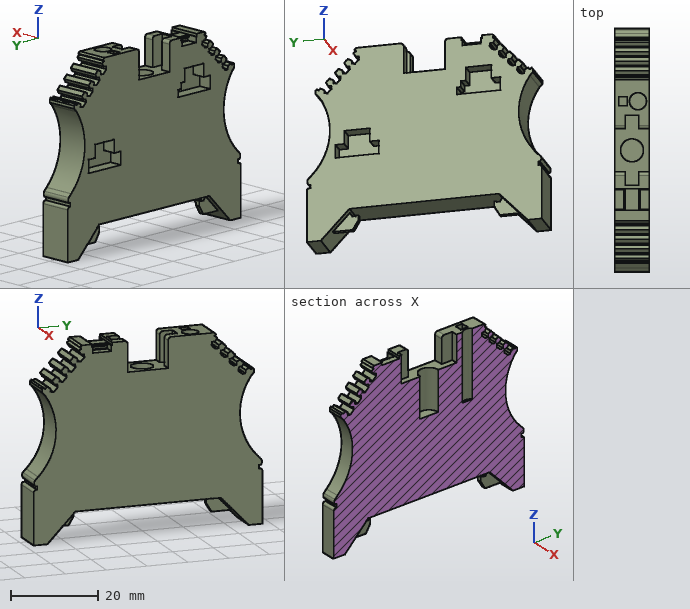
import cadquery as cq
import math

LENGTH = 56.1
WIDTH = 8.0
HEIGHT = 46.5
HALF_LENGTH = LENGTH / 2
MID_X = WIDTH / 2
DIAGONAL = math.sqrt(0.5)

FOOT_CORNER_Z = 12.55
FOOT_CORNER_RADIUS = 0.6
NOTCH_BOTTOM_Z = FOOT_CORNER_Z + FOOT_CORNER_RADIUS
NOTCH_TOP_Z = 14.0
NOTCH_REACH = 27.2
NOSE_REACH = 27.95
NOSE_LIP_REACH = 27.6
NOSE_MID_Z = 14.7
NOSE_TOP_REACH = 27.7

WAIST_REACH = 22.55
WAIST_Z = 26.8
WAIST_RADIUS = 15.0
WAIST_TOP_REACH = 25.25

SHOULDER_SUM = 62.2
HORN_REACH = 26.0
HORN_BOTTOM_Z = 36.2
HORN_SIDE_TOP_Z = 36.9
HORN_TIP = (25.65, 37.3)
HORN_DIP = (25.25, 36.95)
HORN_SHOULDER_Z = 37.3
CROWN_LOWER_REACH = 16.9
CROWN_DIP = (16.3, 45.7)
CROWN_TIP = (16.7, 46.05)
CROWN_TOP_REACH = 16.2

GROOVE_COUNT = 4
GROOVE_STEP = 2.2
GROOVE_ROW_REACH = 20.85
MOUTH_WIDTH = 1.8
THROAT_WIDTH = 1.3
THROAT_DEPTH = 0.95
BELLY_WIDTH = 2.3
BELLY_DEPTH = 1.55
GROOVE_FLOOR_WIDTH = 1.45
GROOVE_DEPTH = 2.15
CUT_CLEARANCE = 0.55

OPENING_DEPTH = 7.1
OPENING_TOP_REACH = 17.85
OPENING_BOTTOM_REACH = 24.7

SLOT_HALF = 4.95
SLOT_FLOOR_Z = 39.1
SLOT_EDGE_RADIUS = 0.8
KEYWAY_WIDTH = 3.05
KEYWAY_HALF = 8.0

HOLE_FLOOR_Z = 28.05
BRIDGE_HOLE_RADIUS = 2.65
SCREW_HOLE_RADIUS = 1.95
SCREW_HOLE_X = 5.4
PROBE_HOLE_SIDE = 1.95
PROBE_HOLE_X = 1.9
WIRE_HOLES_Y = 11.3

POCKET_DEPTH = 3.35
POCKET_BASE_LENGTH = 10.4
POCKET_HEAD_LENGTH = 6.1
POCKET_HEIGHT = 6.45
POCKET_BASE_HEIGHT = POCKET_HEIGHT / 2
REAR_POCKET = (16.05, 19.95)
FRONT_POCKET = (-12.95, 32.55)
CORNER_BLOCK_LENGTH = 0.95
CORNER_BLOCK_HEIGHT = 1.45

SEAT_Y = -11.3
SEAT_LENGTH = 4.95
SEAT_DEPTH = 0.7
WELL_LENGTH = 4.5
WELL_DEPTH = 2.1
RAIL_TOP_HALF = 1.5
RAIL_BEAD_HALF = 1.85
RAIL_BEAD_DROP = 0.2
RAIL_NECK_HALF = 1.4
RAIL_NECK_DROP = 0.75
RAIL_FLARE_DROP = 1.25
RAIL_ROOT_HALF = 1.6

FOOT_X = 1.6
FOOT_THICKNESS = 1.1
FOOT_BOTTOM_Z = 2.5
FOOT_TOP_Z = 6.75
FOOT_TOE_REACH = 17.55
FOOT_TOE_BEVEL = (17.2, 3.05)
FOOT_HOOK_REACH = 16.2
FOOT_HOOK_BOTTOM_Z = 4.7
FOOT_HOOK_TOP = (16.7, 5.95)
FOOT_GROOVE_REACHES = (16.85, 17.6)
FOOT_GROOVE_Z = 5.8


def cuboid(x_range, y_range, z_range):
    """Box between the given limits along each axis."""
    size = [high - low for low, high in (x_range, y_range, z_range)]
    corner = (x_range[0], y_range[0], z_range[0])
    return cq.Workplane("XY").box(*size, centered=False).translate(corner)


def around(middle, length):
    """Range of the given length, centred on middle."""
    return (middle - length / 2, middle + length / 2)


def both_ends(shape):
    """The shape together with its mirror image at the other end of the block."""
    return shape.union(shape.mirror("XZ"))


def opening_reach(z):
    """Reach of the slanted wall of the rail opening at height z."""
    return OPENING_BOTTOM_REACH - (OPENING_BOTTOM_REACH - OPENING_TOP_REACH) * z / OPENING_DEPTH


def block():
    """Full-width block with its end profile, the +Y half mirrored to the -Y half."""
    waist_center = WAIST_REACH + WAIST_RADIUS
    waist_rise = math.sqrt(WAIST_RADIUS**2 - (waist_center - WAIST_TOP_REACH) ** 2)
    flank_start = (waist_center - WAIST_RADIUS * DIAGONAL, WAIST_Z - WAIST_RADIUS * DIAGONAL)
    nose_top_z = flank_start[1] - (NOSE_TOP_REACH - flank_start[0])
    half = (
        cq.Workplane("YZ")
        .moveTo(0, OPENING_DEPTH)
        .lineTo(OPENING_TOP_REACH, OPENING_DEPTH)
        .lineTo(OPENING_BOTTOM_REACH, 0)
        .lineTo(HALF_LENGTH, 0)
        .lineTo(HALF_LENGTH, FOOT_CORNER_Z)
        .radiusArc((HALF_LENGTH - FOOT_CORNER_RADIUS, NOTCH_BOTTOM_Z), -FOOT_CORNER_RADIUS)
        .lineTo(NOTCH_REACH, NOTCH_BOTTOM_Z)
        .lineTo(NOTCH_REACH, NOTCH_TOP_Z)
        .lineTo(NOSE_LIP_REACH, NOTCH_TOP_Z)
        .threePointArc((NOSE_REACH, NOSE_MID_Z), (NOSE_TOP_REACH, nose_top_z))
        .lineTo(*flank_start)
        .threePointArc((WAIST_REACH, WAIST_Z), (WAIST_TOP_REACH, WAIST_Z + waist_rise))
        .lineTo(HORN_REACH, HORN_BOTTOM_Z)
        .lineTo(HORN_REACH, HORN_SIDE_TOP_Z)
        .lineTo(*HORN_TIP)
        .lineTo(*HORN_DIP)
        .lineTo(SHOULDER_SUM - HORN_SHOULDER_Z, HORN_SHOULDER_Z)
        .lineTo(CROWN_LOWER_REACH, SHOULDER_SUM - CROWN_LOWER_REACH)
        .lineTo(*CROWN_DIP)
        .lineTo(*CROWN_TIP)
        .lineTo(CROWN_TOP_REACH, HEIGHT)
        .lineTo(0, HEIGHT)
        .close()
        .extrude(WIDTH)
    )
    return both_ends(half)


def shoulder_groove(reach):
    """One undercut groove at both ends, its mouth centred on the shoulder at the given reach."""
    one_side = [
        (MOUTH_WIDTH / 2, -CUT_CLEARANCE),
        (MOUTH_WIDTH / 2, 0),
        (THROAT_WIDTH / 2, THROAT_DEPTH),
        (BELLY_WIDTH / 2, BELLY_DEPTH),
        (GROOVE_FLOOR_WIDTH / 2, GROOVE_DEPTH),
    ]
    section = one_side + [(-along, depth) for along, depth in reversed(one_side)]
    mouth_z = SHOULDER_SUM - reach
    tilted = [
        (reach + DIAGONAL * (along - depth), mouth_z - DIAGONAL * (along + depth))
        for along, depth in section
    ]
    return both_ends(cq.Workplane("YZ").polyline(tilted).close().extrude(WIDTH))


def middle_slot():
    """Slot across the top, its walls rounded outward where they meet the top face."""
    bottom_z = HEIGHT - SLOT_EDGE_RADIUS
    mouth_half = SLOT_HALF + SLOT_EDGE_RADIUS
    return (
        cq.Workplane("YZ")
        .moveTo(-SLOT_HALF, SLOT_FLOOR_Z)
        .lineTo(SLOT_HALF, SLOT_FLOOR_Z)
        .lineTo(SLOT_HALF, bottom_z)
        .radiusArc((mouth_half, HEIGHT), SLOT_EDGE_RADIUS)
        .lineTo(-mouth_half, HEIGHT)
        .radiusArc((-SLOT_HALF, bottom_z), SLOT_EDGE_RADIUS)
        .close()
        .extrude(WIDTH)
    )


def keyway():
    return cuboid(around(MID_X, KEYWAY_WIDTH), (-KEYWAY_HALF, KEYWAY_HALF), (SLOT_FLOOR_Z, HEIGHT))


def round_hole(x, y, radius):
    start = cq.Workplane("XY", origin=(x, y, HOLE_FLOOR_Z))
    return start.circle(radius).extrude(HEIGHT - HOLE_FLOOR_Z)


def probe_hole():
    return cuboid(
        around(PROBE_HOLE_X, PROBE_HOLE_SIDE),
        around(WIRE_HOLES_Y, PROBE_HOLE_SIDE),
        (HOLE_FLOOR_Z, HEIGHT),
    )


def side_pocket(y, z):
    """T-shaped pocket standing on height z, centred on y."""
    base = cuboid((0, POCKET_DEPTH), around(y, POCKET_BASE_LENGTH), (z, z + POCKET_BASE_HEIGHT))
    head = cuboid((0, POCKET_DEPTH), around(y, POCKET_HEAD_LENGTH), (z, z + POCKET_HEIGHT))
    return base.union(head)


def front_pocket():
    """T-shaped pocket with a block of material left in one corner of its base."""
    y, z = FRONT_POCKET
    base_end = y + POCKET_BASE_LENGTH / 2
    base_top = z + POCKET_BASE_HEIGHT
    corner_block = cuboid(
        (0, POCKET_DEPTH),
        (base_end - CORNER_BLOCK_LENGTH, base_end),
        (base_top - CORNER_BLOCK_HEIGHT, base_top),
    )
    return side_pocket(y, z).cut(corner_block)


def marker_rail():
    """Undercut rail whose top lies on the floor of the marker recess."""
    one_side = [
        (RAIL_TOP_HALF, 0),
        (RAIL_BEAD_HALF, RAIL_BEAD_DROP),
        (RAIL_NECK_HALF, RAIL_NECK_DROP),
        (RAIL_NECK_HALF, RAIL_FLARE_DROP),
        (RAIL_ROOT_HALF, WELL_DEPTH - SEAT_DEPTH),
    ]
    section = one_side + [(-half, drop) for half, drop in reversed(one_side)]
    rail_start = cq.Workplane("XZ", origin=(MID_X, SEAT_Y + WELL_LENGTH / 2, HEIGHT - SEAT_DEPTH))
    return rail_start.polyline([(half, -drop) for half, drop in section]).close().extrude(WELL_LENGTH)


def marker_seat():
    recess = cuboid((0, WIDTH), around(SEAT_Y, SEAT_LENGTH), (HEIGHT - SEAT_DEPTH, HEIGHT))
    well = cuboid((0, WIDTH), around(SEAT_Y, WELL_LENGTH), (HEIGHT - WELL_DEPTH, HEIGHT - SEAT_DEPTH))
    return recess.union(well.cut(marker_rail()))


def make_housing():
    housing = block()
    for i in range(GROOVE_COUNT):
        offset = (i - (GROOVE_COUNT - 1) / 2) * GROOVE_STEP
        housing = housing.cut(shoulder_groove(GROOVE_ROW_REACH + offset))
    cutters = [
        middle_slot(),
        keyway(),
        round_hole(MID_X, 0, BRIDGE_HOLE_RADIUS),
        round_hole(SCREW_HOLE_X, WIRE_HOLES_Y, SCREW_HOLE_RADIUS),
        probe_hole(),
        side_pocket(*REAR_POCKET),
        front_pocket(),
        marker_seat(),
    ]
    for cutter in cutters:
        housing = housing.cut(cutter)
    return housing


def make_foot():
    """Hooked plate lying against the slanted wall of the rail opening at the +Y end."""
    groove_inner, groove_outer = FOOT_GROOVE_REACHES
    outline = [
        (opening_reach(FOOT_BOTTOM_Z), FOOT_BOTTOM_Z),
        (FOOT_TOE_REACH, FOOT_BOTTOM_Z),
        FOOT_TOE_BEVEL,
        (FOOT_HOOK_REACH, FOOT_HOOK_BOTTOM_Z),
        (FOOT_HOOK_REACH, FOOT_HOOK_TOP[1]),
        FOOT_HOOK_TOP,
        (groove_inner, FOOT_GROOVE_Z),
        (groove_outer, FOOT_GROOVE_Z),
        (opening_reach(FOOT_TOP_Z), FOOT_TOP_Z),
    ]
    plate = cq.Workplane("YZ", origin=(FOOT_X, 0, 0))
    return plate.polyline(outline).close().extrude(FOOT_THICKNESS)


housing = make_housing()

feet = []
for at_front in (False, True):
    foot = make_foot()
    if at_front:
        foot = foot.mirror("XZ")
    feet.append(foot.val())

result = cq.Compound.makeCompound([housing.val(), *feet])